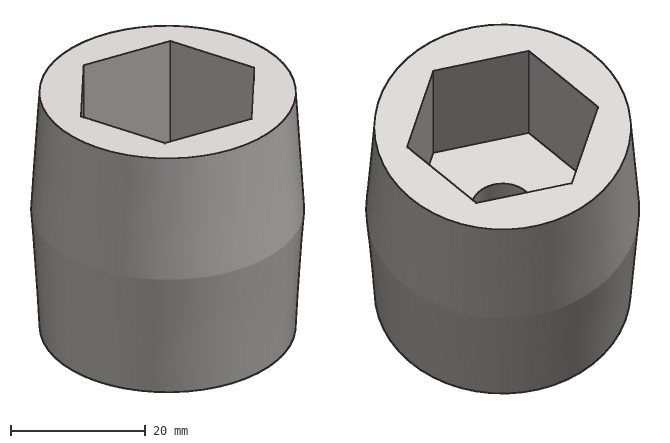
import cadquery as cq
import math

height = 40.65
middle_diameter = 40.65
end_diameter = 38.1
middle_height = height / 2

hex_across_flats = 25.4
hex_across_corners = hex_across_flats / math.cos(math.pi / 6)
hex_depth = height / 2
hole_diameter = 9.5


def make_body():
    """Revolve the double-tapered profile around Z."""
    return (
        cq.Workplane("XZ")
        .moveTo(0, 0)
        .lineTo(end_diameter / 2, 0)
        .lineTo(middle_diameter / 2, middle_height)
        .lineTo(end_diameter / 2, height)
        .lineTo(0, height)
        .close()
        .revolve(360, (0, 0, 0), (0, 1, 0))
    )


def make_socket():
    """Hexagonal prism with two corners on the X axis."""
    return (
        cq.Workplane("XY")
        .workplane(offset=height - hex_depth)
        .polygon(6, hex_across_corners)
        .extrude(hex_depth)
    )


def make_through_hole():
    """Round hole along the full height."""
    return cq.Workplane("XY").circle(hole_diameter / 2).extrude(height)


result = make_body().cut(make_socket()).cut(make_through_hole())